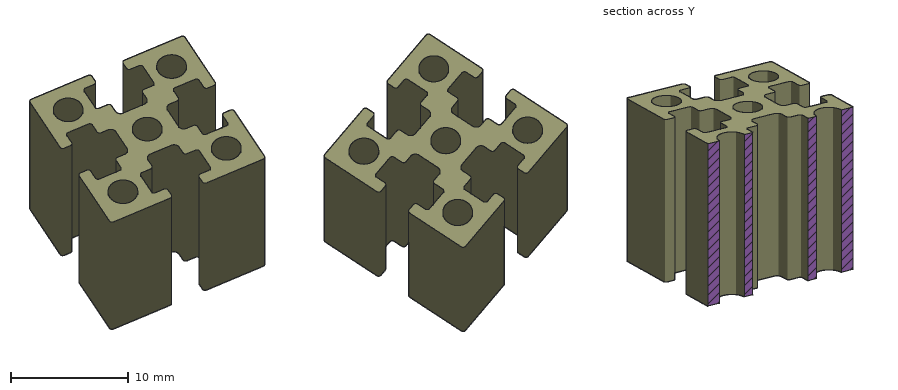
import cadquery as cq

side = 15.0
length = 15.0
slot_mouth = 3.0
slot_cavity = 5.68
lip_thickness = 1.11
cavity_floor_depth = 3.57
slot_depth = side / 3
corner_radius = 0.25
slot_floor_radius = 0.5
hole_diameter = 2.55
hole_pitch = 2 * side / 3

half_side = side / 2
lip_inside = half_side - lip_thickness
cavity_floor = half_side - cavity_floor_depth
slot_floor = half_side - slot_depth


def bar(width, low, high):
    """Full-length bar centred on X, reaching from low to high in Y."""
    return cq.Workplane("XY").center(0, (low + high) / 2).rect(width, high - low).extrude(length)


def cut_slots(body):
    """Cut one sharp-cornered T-slot into each of the four sides."""
    slot = bar(slot_mouth, slot_floor, half_side).union(bar(slot_cavity, cavity_floor, lip_inside))
    for turn in range(4):
        body = body.cut(slot.rotate((0, 0, 0), (0, 0, 1), 90 * turn))
    return body


def round_corners(body):
    """Round every lengthwise edge, with a larger radius at the slot floors."""
    core_reach = (slot_floor + cavity_floor) / 2
    core_box = cq.selectors.BoxSelector((-core_reach, -core_reach, 0), (core_reach, core_reach, length))
    lengthwise = cq.selectors.ParallelDirSelector(cq.Vector(0, 0, 1))
    body = body.edges(lengthwise - core_box).fillet(corner_radius)
    return body.edges(lengthwise & core_box).fillet(slot_floor_radius)


def drill_holes(body):
    """Drill the core hole and the four corner holes through the full length."""
    corner_offset = hole_pitch / 2
    centers = [(0, 0)]
    for x in (-corner_offset, corner_offset):
        for y in (-corner_offset, corner_offset):
            centers.append((x, y))
    return body.cut(cq.Workplane("XY").pushPoints(centers).circle(hole_diameter / 2).extrude(length))


profile_bar = bar(side, -half_side, half_side)
result = drill_holes(round_corners(cut_slots(profile_bar)))